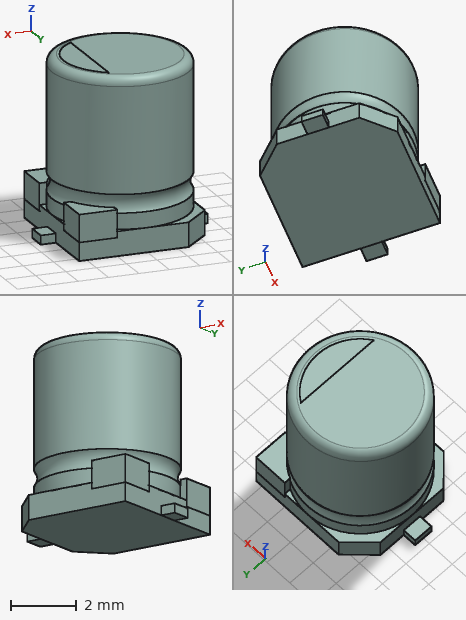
import cadquery as cq
import math


base_width = 4.5
base_height = 0.8
base_chamfer = 0.9

can_radius = base_width / 2
can_top = 5.7
can_edge_radius = 0.3
groove_middle = 1.62
groove_width = 0.6
groove_bottom = groove_middle - groove_width / 2
groove_top = groove_middle + groove_width / 2
groove_depth = 0.1

block_inner = 1.0
block_size = base_width / 2 - block_inner
block_bottom = 0.6
block_top = 1.5

mark_radius = 1.85
mark_flat_x = 1.0
mark_depth = 0.1

overall_length = 5.5
lead_length = (overall_length - base_width) / 2
lead_width = 0.7
lead_height = 0.3


def make_mark():
    """Circular segment on the +X side of the can top."""
    half_chord = math.sqrt(mark_radius**2 - mark_flat_x**2)
    return (
        cq.Workplane("XY", origin=(0, 0, can_top - mark_depth))
        .moveTo(mark_flat_x, -half_chord)
        .threePointArc((mark_radius, 0), (mark_flat_x, half_chord))
        .close()
        .extrude(mark_depth)
    )


def make_can(mark):
    """Revolved can with a rounded top edge, a rolled groove and a recess for the mark."""
    edge_start = can_top - can_edge_radius
    return (
        cq.Workplane("XZ")
        .moveTo(0, base_height)
        .lineTo(can_radius, base_height)
        .lineTo(can_radius, groove_bottom)
        .threePointArc((can_radius - groove_depth, groove_middle), (can_radius, groove_top))
        .lineTo(can_radius, edge_start)
        .radiusArc((can_radius - can_edge_radius, can_top), -can_edge_radius)
        .lineTo(0, can_top)
        .close()
        .revolve(360, (0, 0), (0, 1))
        .cut(mark)
    )


def make_block(side):
    """Block on the +Y (side = 1) or -Y (side = -1) corner, hollowed to the can's outer radius."""
    centre = block_inner + block_size / 2
    block_height = block_top - block_bottom
    can_clearance = (
        cq.Workplane("XY", origin=(0, 0, block_bottom))
        .circle(can_radius)
        .extrude(block_height)
    )
    return (
        cq.Workplane("XY", origin=(centre, side * centre, block_bottom))
        .rect(block_size, block_size)
        .extrude(block_height)
        .cut(can_clearance)
    )


def make_base(blocks):
    """Square plate with both -X corners cut off and notches for the corner blocks."""
    base = (
        cq.Workplane("XY")
        .rect(base_width, base_width)
        .extrude(base_height)
        .edges("|Z and <X")
        .chamfer(base_chamfer)
    )
    for block in blocks:
        base = base.cut(block)
    return base


def make_lead(side):
    """Lead projecting from the +X (side = 1) or -X (side = -1) face of the base."""
    centre_x = side * (base_width + lead_length) / 2
    return (
        cq.Workplane("XY", origin=(centre_x, 0, 0))
        .rect(lead_length, lead_width)
        .extrude(lead_height)
    )


mark = make_mark()
can = make_can(mark)
blocks = [make_block(side) for side in (-1, 1)]
base = make_base(blocks)
leads = [make_lead(side) for side in (-1, 1)]

result = cq.Compound.makeCompound(
    [
        base.val(),
        can.val(),
        mark.val(),
        *[block.val() for block in blocks],
        *[lead.val() for lead in leads],
    ]
)